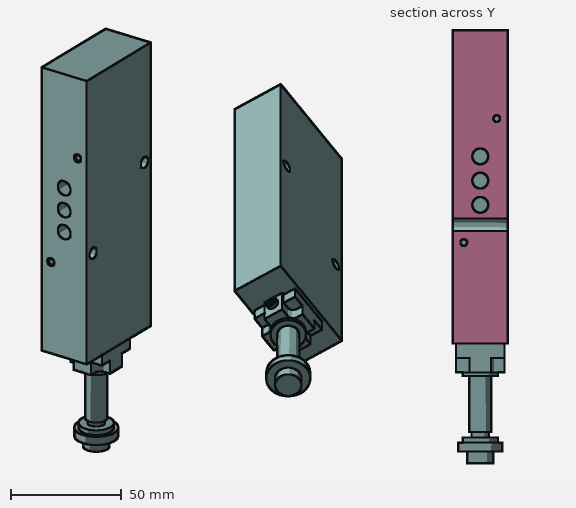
import cadquery as cq

TOTAL_HEIGHT = 196.0

BODY_WIDTH = 25.0
BODY_DEPTH = 50.0
BODY_BOTTOM = 54.0
TOP_CAP_HEIGHT = 25.0
MIDDLE_HEIGHT = 86.0
MIDDLE_CENTER_Z = TOTAL_HEIGHT - TOP_CAP_HEIGHT - MIDDLE_HEIGHT / 2

PORT_DIAMETER = 7.0
PORT_PITCH = 11.0
PORT_DEPTH = 11.8
SCREW_HOLE_DIAMETER = 3.0
SCREW_HOLE_MOUTH = 4.0
COUNTERSINK_ANGLE = 45
SCREW_HOLE_DEPTH = 9.8
SCREW_HOLE_X = 7.5
SCREW_HOLE_Z = 28.0

CROSS_HOLE_DIAMETER = 5.5
CROSS_HOLE_Y = 20.0
UPPER_CROSS_HOLE_Z = 10.0
LOWER_CROSS_HOLE_Z = -20.0

HEAD_SIZE = 22.0
HEAD_HEIGHT = 13.0
HEAD_BOTTOM = BODY_BOTTOM - HEAD_HEIGHT
CORE_WIDTH = 9.6
NOTCH_HEIGHT = 6.5
NOTCH_RADIUS = 3.1
PLATE_THICKNESS = 1.2
SLOTTED_SCREW_DIAMETER = 5.3
SLOTTED_SCREW_LENGTH = 1.8
SLOTTED_SCREW_DROP = 5.5
SLOT_WIDTH = 1.2

COLLAR_DIAMETER = 16.0
COLLAR_HEIGHT = 1.8
COLLAR_BOTTOM = HEAD_BOTTOM - COLLAR_HEIGHT
STEM_DIAMETER = 10.0
STEM_BOTTOM = 14.1
NECK_DIAMETER = 8.0
FLANGE_DIAMETER = 16.0
FLANGE_TOP = 11.8
KNOB_DIAMETER = 20.0
KNOB_TOP = 9.5
TIP_DIAMETER = 12.0
TIP_TOP = 5.3


def box_between(width, depth, bottom, top):
    """Box centred on the Z axis."""
    return cq.Workplane("XY", origin=(0, 0, bottom)).rect(width, depth).extrude(top - bottom)


def disc_between(diameter, bottom, top):
    """Cylinder on the Z axis."""
    return cq.Workplane("XY", origin=(0, 0, bottom)).circle(diameter / 2).extrude(top - bottom)


def front_hole(diameter, depth, x, z):
    """Cylinder going into the front (-Y) face; z is measured from the middle section's centre."""
    start = (x, -BODY_DEPTH / 2, MIDDLE_CENTER_Z + z)
    return cq.Workplane("XZ", origin=start).circle(diameter / 2).extrude(-depth)


def screw_hole(x, z):
    """Blind hole with a 45 degree countersunk mouth."""
    mouth_depth = (SCREW_HOLE_MOUTH - SCREW_HOLE_DIAMETER) / 2
    face = cq.Workplane("XZ", origin=(x, -BODY_DEPTH / 2, MIDDLE_CENTER_Z + z))
    mouth = face.circle(SCREW_HOLE_MOUTH / 2).extrude(-mouth_depth, taper=COUNTERSINK_ANGLE)
    return front_hole(SCREW_HOLE_DIAMETER, SCREW_HOLE_DEPTH, x, z).union(mouth)


def cross_hole(y, z):
    """Cylinder through the whole width of the valve body."""
    center = (0, y, MIDDLE_CENTER_Z + z)
    return cq.Workplane("YZ", origin=center).circle(CROSS_HOLE_DIAMETER / 2).extrude(BODY_WIDTH, both=True)


def make_valve_body():
    body = box_between(BODY_WIDTH, BODY_DEPTH, BODY_BOTTOM, TOTAL_HEIGHT)
    for step in (-1, 0, 1):
        body = body.cut(front_hole(PORT_DIAMETER, PORT_DEPTH, 0, step * PORT_PITCH))
    for side in (-1, 1):
        body = body.cut(screw_hole(side * SCREW_HOLE_X, side * SCREW_HOLE_Z))
    body = body.cut(cross_hole(CROSS_HOLE_Y, UPPER_CROSS_HOLE_Z))
    return body.cut(cross_hole(-CROSS_HOLE_Y, LOWER_CROSS_HOLE_Z))


def make_head():
    """Square head with a round-cornered notch under each corner and a plate on the back."""
    head = box_between(HEAD_SIZE, HEAD_SIZE, HEAD_BOTTOM, BODY_BOTTOM)
    notch_center = CORE_WIDTH / 2 + HEAD_SIZE / 2
    for x_side in (-1, 1):
        for y_side in (-1, 1):
            notch = box_between(HEAD_SIZE, HEAD_SIZE, HEAD_BOTTOM, HEAD_BOTTOM + NOTCH_HEIGHT)
            notch = notch.edges("|Z").fillet(NOTCH_RADIUS)
            head = head.cut(notch.translate((x_side * notch_center, y_side * notch_center, 0)))
    plate = cq.Workplane("XY").box(
        CORE_WIDTH, HEAD_SIZE / 2 + PLATE_THICKNESS, HEAD_HEIGHT, centered=(True, False, False)
    )
    return head.union(plate.translate((0, 0, HEAD_BOTTOM)))


def make_slotted_screw():
    """Short screw head on the plate, with a slot along X."""
    plate_y = HEAD_SIZE / 2 + PLATE_THICKNESS
    center = (0, plate_y, BODY_BOTTOM - SLOTTED_SCREW_DROP)
    screw = cq.Workplane("XZ", origin=center).circle(SLOTTED_SCREW_DIAMETER / 2).extrude(-SLOTTED_SCREW_LENGTH)
    slot = cq.Workplane("XY").box(
        SLOTTED_SCREW_DIAMETER, SLOTTED_SCREW_LENGTH, SLOT_WIDTH, centered=(True, False, True)
    )
    return screw.cut(slot.translate(center))


def make_operator():
    steps = [
        (COLLAR_DIAMETER, COLLAR_BOTTOM, HEAD_BOTTOM),
        (STEM_DIAMETER, STEM_BOTTOM, COLLAR_BOTTOM),
        (NECK_DIAMETER, FLANGE_TOP, STEM_BOTTOM),
        (FLANGE_DIAMETER, KNOB_TOP, FLANGE_TOP),
        (KNOB_DIAMETER, TIP_TOP, KNOB_TOP),
        (TIP_DIAMETER, 0, TIP_TOP),
    ]
    operator = make_head().union(make_slotted_screw())
    for diameter, bottom, top in steps:
        operator = operator.union(disc_between(diameter, bottom, top))
    return operator


valve_body = make_valve_body()
operator = make_operator()

result = cq.Compound.makeCompound([valve_body.val(), operator.val()])